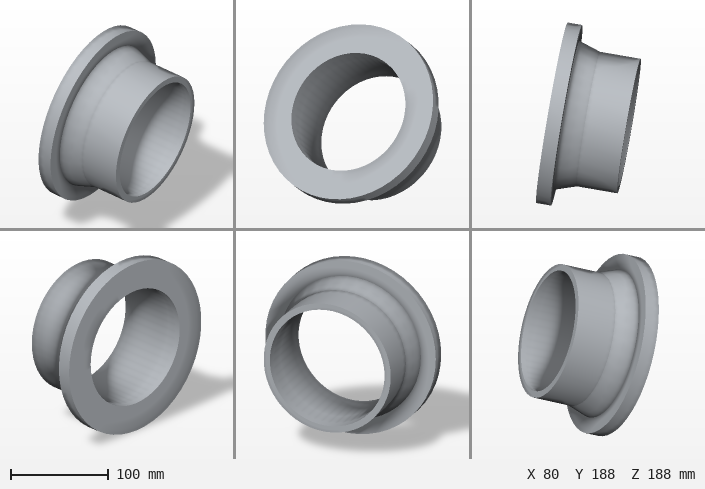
import cadquery as cq

total_length = 80.0
flange_thickness = 15.0
cone_length = 23.0
pipe_start = flange_thickness + cone_length

flange_diameter = 188.0
cone_base_diameter = 155.1
pipe_diameter = 140.0
bore_diameter = 126.5

half_section = (
    cq.Workplane("XY")
    .moveTo(0, bore_diameter / 2)
    .lineTo(0, flange_diameter / 2)
    .lineTo(flange_thickness, flange_diameter / 2)
    .lineTo(flange_thickness, cone_base_diameter / 2)
    .lineTo(pipe_start, pipe_diameter / 2)
    .lineTo(total_length, pipe_diameter / 2)
    .lineTo(total_length, bore_diameter / 2)
    .close()
)

result = half_section.revolve(360, (0, 0, 0), (1, 0, 0))